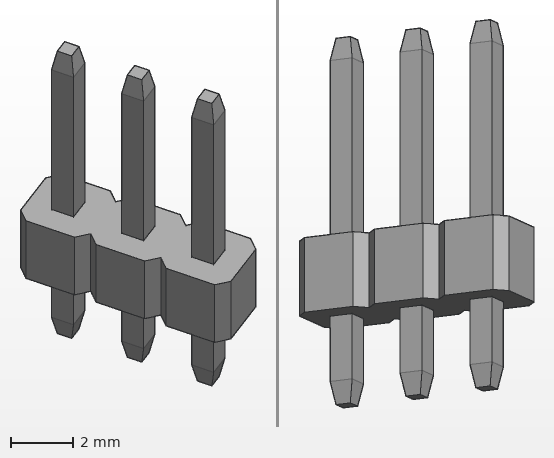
import cadquery as cq

pin_count = 3
pitch = 2.54
housing_depth = 2.54
housing_height = 2.48
corner_chamfer = 0.39
pin_length = 12.15
pin_width = 0.8
tip_width = 0.52
tip_length = 0.75
tail_length = 2.92

pin_bottom = -tail_length
shank_length = pin_length - 2 * tip_length
shank_bottom = pin_bottom + tip_length
shank_top = shank_bottom + shank_length
first_pin_x = -(pin_count - 1) * pitch / 2
pin_positions = [first_pin_x + i * pitch for i in range(pin_count)]


def make_housing():
    """Row of chamfered cells with a square through hole for each pin."""
    housing = cq.Workplane("XY")
    for x in pin_positions:
        cell = (
            cq.Workplane("XY")
            .center(x, 0)
            .rect(pitch, housing_depth)
            .extrude(housing_height)
            .edges("|Z")
            .chamfer(corner_chamfer)
        )
        housing = housing.union(cell)
    pin_holes = (
        cq.Workplane("XY")
        .pushPoints([(x, 0) for x in pin_positions])
        .rect(pin_width, pin_width)
        .extrude(housing_height)
    )
    return housing.cut(pin_holes)


def make_tip(x, base_z, end_z):
    """Square taper from the shank at base_z to the pin end at end_z."""
    return (
        cq.Workplane("XY", origin=(x, 0, base_z))
        .rect(pin_width, pin_width)
        .workplane(offset=end_z - base_z)
        .rect(tip_width, tip_width)
        .loft(ruled=True)
    )


def make_pin(x):
    """Square pin with a tapered tip at both ends."""
    shank = (
        cq.Workplane("XY", origin=(x, 0, shank_bottom))
        .rect(pin_width, pin_width)
        .extrude(shank_length)
    )
    top_tip = make_tip(x, shank_top, shank_top + tip_length)
    bottom_tip = make_tip(x, shank_bottom, pin_bottom)
    return shank.union(top_tip).union(bottom_tip)


housing = make_housing()
pins = [make_pin(x) for x in pin_positions]

result = cq.Compound.makeCompound([housing.solids().val(), *[pin.solids().val() for pin in pins]])